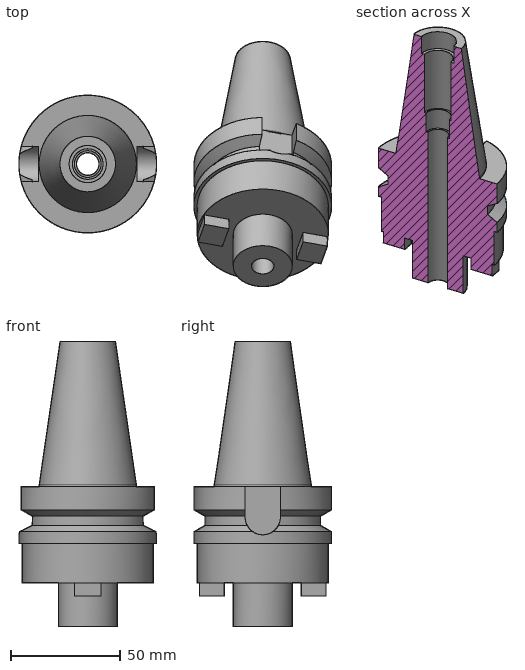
import cadquery as cq
import math


gauge_dia = 44.45
taper_length = 65.4
taper_ratio = 7 / 24
taper_tip_dia = gauge_dia - taper_length * taper_ratio

flange_dia = 63.0
flange_top = -1.0
flange_bottom = -27.0
groove_floor_dia = 53.0
groove_center = -16.6
groove_mouth_width = 10.0
groove_flank_angle = 30.0
groove_depth = (flange_dia - groove_floor_dia) / 2
groove_floor_width = groove_mouth_width - 2 * groove_depth * math.tan(math.radians(groove_flank_angle))

slot_width = 16.1
slot_floor_x = 22.5
slot_bottom = -23.0

body_dia = 60.0
body_bottom = -45.0
pilot_dia = 27.0
pilot_bottom = -65.0
key_width = 12.0
key_height = 6.0
key_inner_y = 17.5
key_outer_y = 29.0

recess = (17.0, 9.0)
pull_stud_bore = (14.0, 40.0)
relief_bore = (12.2, 50.0)
through_bore = (10.2, taper_length - pilot_bottom)


def turned_body():
    half_mouth = groove_mouth_width / 2
    half_floor = groove_floor_width / 2
    profile = [
        (0, taper_length),
        (taper_tip_dia / 2, taper_length),
        (gauge_dia / 2, 0),
        (gauge_dia / 2, flange_top),
        (flange_dia / 2, flange_top),
        (flange_dia / 2, groove_center + half_mouth),
        (groove_floor_dia / 2, groove_center + half_floor),
        (groove_floor_dia / 2, groove_center - half_floor),
        (flange_dia / 2, groove_center - half_mouth),
        (flange_dia / 2, flange_bottom),
        (body_dia / 2, flange_bottom),
        (body_dia / 2, body_bottom),
        (pilot_dia / 2, body_bottom),
        (pilot_dia / 2, pilot_bottom),
        (0, pilot_bottom),
    ]
    return cq.Workplane("XZ").polyline(profile).close().revolve(360, (0, 0), (0, 1))


def drive_slot(side):
    """Cutter for one drive slot; side is +1 for +X and -1 for -X."""
    radius = slot_width / 2
    round_center = slot_bottom + radius
    return (
        cq.Workplane("YZ", origin=(side * slot_floor_x, 0, 0))
        .moveTo(-radius, flange_top)
        .lineTo(-radius, round_center)
        .threePointArc((0, slot_bottom), (radius, round_center))
        .lineTo(radius, flange_top)
        .close()
        .extrude(side * (flange_dia / 2 - slot_floor_x))
    )


def drive_key(side):
    """Drive key under the body; side is +1 for +Y and -1 for -Y."""
    return (
        cq.Workplane("XY", origin=(0, side * (key_inner_y + key_outer_y) / 2, body_bottom))
        .rect(key_width, key_outer_y - key_inner_y)
        .extrude(-key_height)
    )


def axial_bore(diameter, depth):
    """Cutter for a flat-bottomed bore entering from the taper tip."""
    return cq.Workplane("XY", origin=(0, 0, taper_length)).circle(diameter / 2).extrude(-depth)


result = turned_body()
for side in (1, -1):
    result = result.cut(drive_slot(side)).union(drive_key(side))
for diameter, depth in (recess, pull_stud_bore, relief_bore, through_bore):
    result = result.cut(axial_bore(diameter, depth))